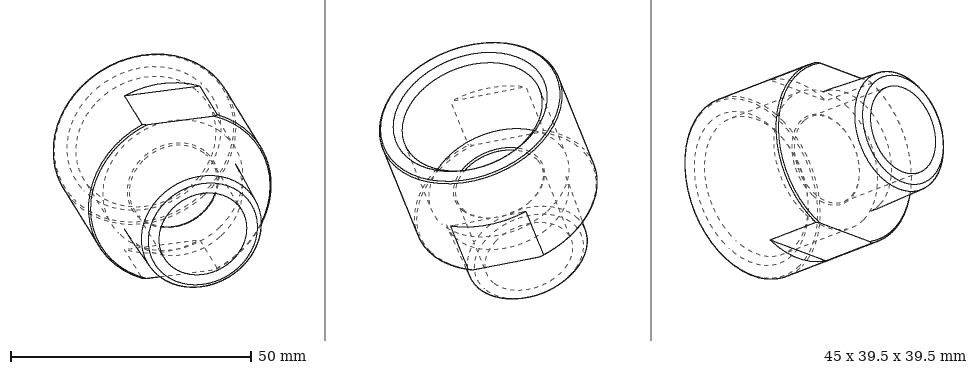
import cadquery as cq

total_length = 45.0
body_length = 27.75

body_radius = 39.5 / 2
body_edge_chamfer = 0.35
flat_spacing = 36.0
flat_length = 13.9

spigot_radius = 26.78 / 2
spigot_straight_length = 2.85
spigot_root_fillet = 0.3
spigot_tip_chamfer = 1.15
taper = 1 / 16

socket_radius = 30.3 / 2
socket_mouth_radius = 16.65
socket_depth = 22.05
through_radius = 19.0 / 2
through_edge_chamfer = 0.35


def make_body():
    """Round body with both outer edges chamfered."""
    body = cq.Workplane("YZ").circle(body_radius).extrude(body_length)
    return body.faces("<X or >X").edges().chamfer(body_edge_chamfer)


def make_spigot():
    """Revolved spigot: root fillet, straight neck, taper and chamfered tip."""
    taper_start = body_length + spigot_straight_length
    taper_end = total_length - spigot_tip_chamfer
    taper_end_radius = spigot_radius - (taper_end - taper_start) * taper / 2
    root_bulge = spigot_root_fillet * (1 - 0.5**0.5)
    profile = (
        cq.Workplane("XY")
        .moveTo(socket_depth, 0)
        .lineTo(socket_depth, spigot_radius)
        .lineTo(body_length, spigot_radius)
        .lineTo(body_length, spigot_radius + spigot_root_fillet)
        .threePointArc(
            (body_length + root_bulge, spigot_radius + root_bulge),
            (body_length + spigot_root_fillet, spigot_radius),
        )
        .lineTo(taper_start, spigot_radius)
        .lineTo(taper_end, taper_end_radius)
        .lineTo(total_length, taper_end_radius - spigot_tip_chamfer)
        .lineTo(total_length, 0)
        .close()
    )
    return profile.revolve(360, (0, 0, 0), (1, 0, 0))


def make_bore():
    """Revolved cutter: chamfered socket, then the through hole with a chamfered edge."""
    mouth_chamfer = socket_mouth_radius - socket_radius
    profile = (
        cq.Workplane("XY")
        .moveTo(0, 0)
        .lineTo(0, socket_mouth_radius)
        .lineTo(mouth_chamfer, socket_radius)
        .lineTo(socket_depth, socket_radius)
        .lineTo(socket_depth, through_radius + through_edge_chamfer)
        .lineTo(socket_depth + through_edge_chamfer, through_radius)
        .lineTo(total_length, through_radius)
        .lineTo(total_length, 0)
        .close()
    )
    return profile.revolve(360, (0, 0, 0), (1, 0, 0))


def cut_wrench_flats(body):
    """Cut the two parallel flats, above and below, at the spigot end of the body."""
    flat_depth = body_radius - flat_spacing / 2
    for side in (1, -1):
        cutter = cq.Workplane("XY").box(flat_length, 2 * body_radius, flat_depth)
        body = body.cut(
            cutter.translate((body_length - flat_length / 2, 0, side * (flat_spacing + flat_depth) / 2))
        )
    return body


result = cut_wrench_flats(make_body()).union(make_spigot()).cut(make_bore())
result = result.translate((-total_length / 2, 0, 0))